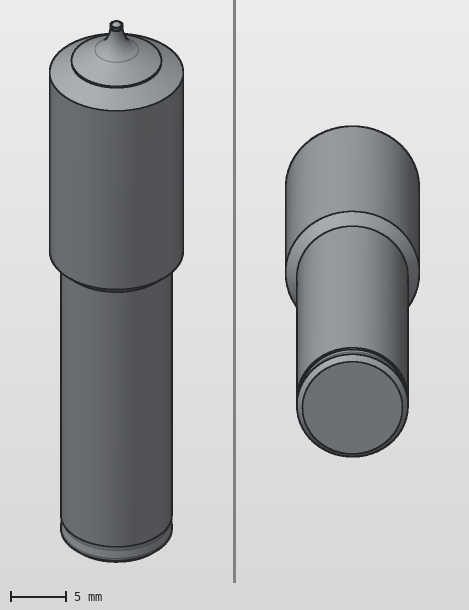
import cadquery as cq
import math

height = 56.05
body_radius = 6.0
shank_radius = 5.0
groove_radius = 4.8
cap_radius = 4.05
tip_radius = 0.55

foot_chamfer = 0.5
groove_bottom = 0.8
groove_floor_bottom = 1.5
groove_top = 2.0

shank_top = 30.0
body_top = 50.6
cone_angle = math.radians(30)
cap_step = 0.15

flare_radius = 1.95
neck_radius = 0.45
neck_bottom = 55.5
neck_top = 55.8

cone_slope = math.tan(cone_angle)
body_bottom = shank_top + body_radius - shank_radius
cap_bottom = body_top + (body_radius - cap_radius) * cone_slope
cap_top = cap_bottom + cap_step
flare_bottom = cap_top + (cap_radius - flare_radius) * cone_slope

flare_arc_radius = (flare_radius - tip_radius) / (1 - math.sin(cone_angle))
flare_top = flare_bottom + flare_arc_radius * math.cos(cone_angle)
flare_middle_angle = (math.pi / 2 - cone_angle) / 2
flare_middle = (
    tip_radius + flare_arc_radius * (1 - math.cos(flare_middle_angle)),
    flare_top - flare_arc_radius * math.sin(flare_middle_angle),
)

dome_height = height - neck_top
dome_sphere_radius = (tip_radius**2 + dome_height**2) / (2 * dome_height)
dome_half_angle = math.asin(tip_radius / dome_sphere_radius) / 2
dome_middle = (
    dome_sphere_radius * math.sin(dome_half_angle),
    height - dome_sphere_radius * (1 - math.cos(dome_half_angle)),
)

profile = (
    cq.Workplane("XZ")
    .lineTo(shank_radius - foot_chamfer, 0)
    .lineTo(shank_radius, foot_chamfer)
    .lineTo(shank_radius, groove_bottom)
    .lineTo(groove_radius, groove_floor_bottom)
    .lineTo(groove_radius, groove_top)
    .lineTo(shank_radius, groove_top)
    .lineTo(shank_radius, shank_top)
    .lineTo(body_radius, body_bottom)
    .lineTo(body_radius, body_top)
    .lineTo(cap_radius, cap_bottom)
    .lineTo(cap_radius, cap_top)
    .lineTo(flare_radius, flare_bottom)
    .threePointArc(flare_middle, (tip_radius, flare_top))
    .lineTo(tip_radius, neck_bottom)
    .lineTo(neck_radius, neck_bottom)
    .lineTo(neck_radius, neck_top)
    .lineTo(tip_radius, neck_top)
    .threePointArc(dome_middle, (0, height))
    .close()
)

result = profile.revolve(360, (0, 0, 0), (0, 1, 0))